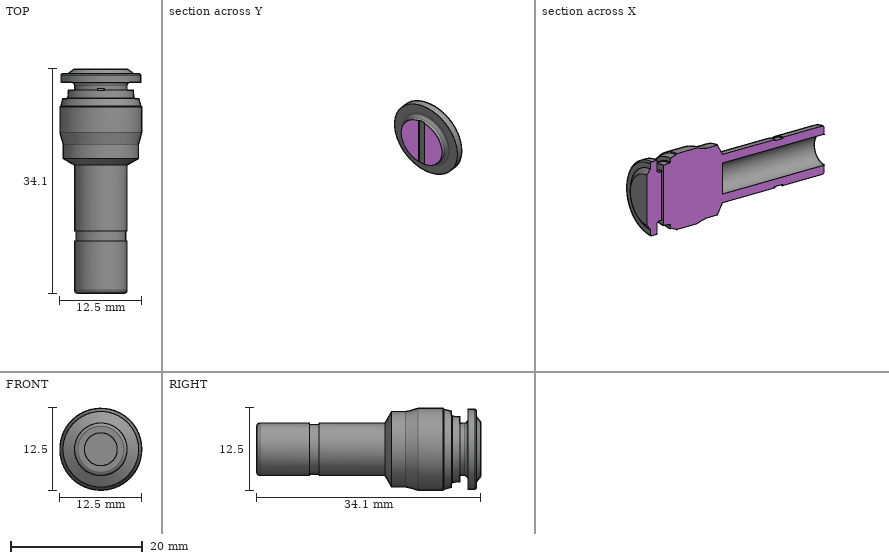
import cadquery as cq
import math

total_length = 34.1

stem_radius = 4.0
stem_length = 19.5
tip_round = 0.5
groove_radius = 3.8
groove_start = 8.0
groove_width = 1.5
bore_radius = 2.5
bore_depth = stem_length

shoulder_radius = 5.75
shoulder_start = stem_length + 1.0
shoulder_end = 22.65
body_radius = 6.25
body_start = 24.5
body_end = 28.35
body_chamfer = 0.15
mouth_radius = 5.8
mouth_end = 29.6

lip_radius = 5.15
lip_length = 0.15
collar_base_radius = 5.05
collar_top_radius = 4.95
collar_end = 30.9

neck_radius = stem_radius
neck_round = 0.5
flange_radius = 6.1
flange_start = 32.1
flange_end = 33.45
flange_chamfer = 0.25
cone_base_radius = 4.95
cone_top_radius = 4.1

slot_width = 1.0
slot_length = 0.25


def quarter_arc_middle(center_radius, center_y, radius, radial_sign, axial_sign):
    """Point halfway along a quarter circle, as (radius, y)."""
    offset = radius * math.sqrt(0.5)
    return (center_radius + radial_sign * offset, center_y + axial_sign * offset)


def turned_body():
    groove_end = groove_start + groove_width
    tip_middle = quarter_arc_middle(stem_radius - tip_round, tip_round, tip_round, 1, -1)
    neck_round_start = flange_start - neck_round
    neck_middle = quarter_arc_middle(
        neck_radius + neck_round, neck_round_start, neck_round, -1, 1
    )
    lip_end = mouth_end + lip_length
    profile = (
        cq.Workplane("XY")
        .moveTo(0, 0)
        .lineTo(stem_radius - tip_round, 0)
        .threePointArc(tip_middle, (stem_radius, tip_round))
        .lineTo(stem_radius, groove_start)
        .lineTo(groove_radius, groove_start)
        .lineTo(groove_radius, groove_end)
        .lineTo(stem_radius, groove_end)
        .lineTo(stem_radius, stem_length)
        .lineTo(shoulder_radius, shoulder_start)
        .lineTo(shoulder_radius, shoulder_end)
        .lineTo(body_radius, body_start)
        .lineTo(body_radius, body_end)
        .lineTo(body_radius - body_chamfer, body_end + body_chamfer)
        .lineTo(mouth_radius, mouth_end)
        .lineTo(lip_radius, mouth_end)
        .lineTo(lip_radius, lip_end)
        .lineTo(collar_base_radius, lip_end)
        .lineTo(collar_top_radius, collar_end)
        .lineTo(neck_radius, collar_end)
        .lineTo(neck_radius, neck_round_start)
        .threePointArc(neck_middle, (neck_radius + neck_round, flange_start))
        .lineTo(flange_radius, flange_start)
        .lineTo(flange_radius, flange_end - flange_chamfer)
        .lineTo(flange_radius - flange_chamfer, flange_end)
        .lineTo(cone_base_radius, flange_end)
        .lineTo(cone_top_radius, total_length)
        .lineTo(0, total_length)
        .close()
    )
    return profile.revolve(360, (0, 0, 0), (0, 1, 0))


def stem_bore():
    """Blind bore entering from the stem tip."""
    return cq.Workplane("XZ").circle(bore_radius).extrude(-bore_depth)


def neck_slot():
    """Slot through the neck along Z, starting at the collar face."""
    return cq.Workplane("XY").box(
        slot_width, slot_length, 2 * flange_radius, centered=(True, False, True)
    ).translate((0, collar_end, 0))


result = turned_body().cut(stem_bore()).cut(neck_slot())